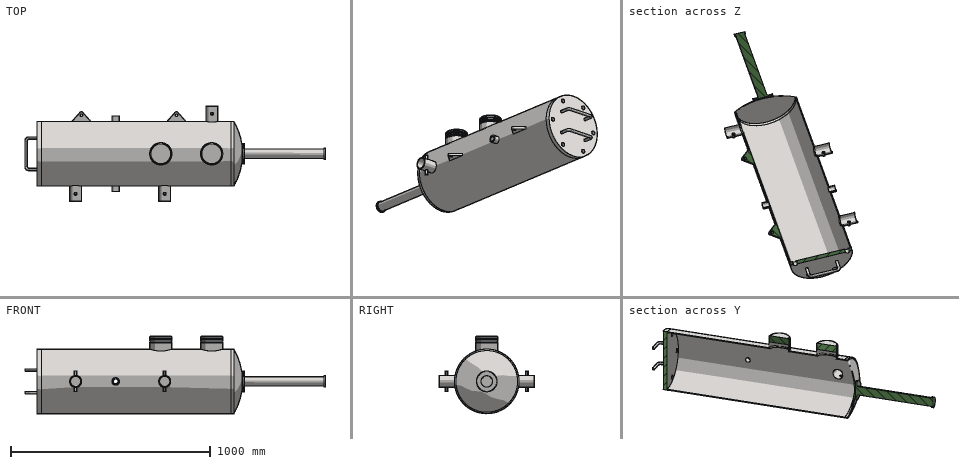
import cadquery as cq
import math


OVERALL_LENGTH = 1509.0
OVERALL_WIDTH = 477.0
OVERALL_HEIGHT = 390.0

VESSEL_RADIUS = 325.0 / 2
WALL = 8.0
COVER_THICKNESS = 23.0
SHELL_END = 975.0
DOME_SKIRT = 14.0
DOME_HEIGHT = 44.0
PAD_RADIUS = 48.0
PAD_END = 1033.0

BOLT_COUNT = 6
BOLT_CIRCLE_RADIUS = 136.0
BOLT_HOLE_DIAMETER = 20.0

HANDLE_REACH = 60.0
HANDLE_WIDTH = 170.0
HANDLE_BAR_DIAMETER = 14.0
HANDLE_BEND_RADIUS = 14.0
HANDLE_SPACING = 113.0

NECK_STATIONS = (622.0, 876.0)
NECK_RADIUS = 56.0
NECK_WALL = 6.0
NECK_TOP = 192.0
CAP_TOP = OVERALL_HEIGHT - VESSEL_RADIUS
CAP_CHAMFER = 6.0
CAP_GROOVE_WIDTH = 6.0
CAP_GROOVE_DEPTH = 3.0
CAP_GROOVE_BOTTOMS = (196.0, 210.0)

NOZZLES = ((195.0, -1), (641.0, -1), (878.0, 1))
NOZZLE_END = OVERALL_WIDTH / 2
NOZZLE_RADIUS = 30.0
NOZZLE_WALL = 5.0
STUB_OFFSET = 200.0
STUB_RADIUS = 8.0
STUB_BORE_RADIUS = 5.0
STUB_END = 51.0

SOCKET_STATION = 395.0
SOCKET_END = 190.0
SOCKET_RADIUS = 38.0 / 2
SOCKET_BORE_RADIUS = 12.0

LUG_STATIONS = (223.0, 700.0)
LUG_BASE = 95.0
LUG_THICKNESS = 12.0
LUG_HOLE_OFFSET = 193.0
LUG_HOLE_DIAMETER = 12.0
LUG_TIP_RADIUS = 9.0
LUG_TIP_OFFSET = 202.0

FLANGE_RADIUS = 104.0 / 2
FLANGE_THICKNESS = 8.0
ROD_RADIUS = 24.0
ROD_END = OVERALL_LENGTH - HANDLE_REACH
COLLAR_RADIUS = 29.0
COLLAR_LENGTH = 9.0

INNER_RADIUS = VESSEL_RADIUS - WALL
DOME_RIM = SHELL_END + DOME_SKIRT


def x_cylinder(start, end, radius):
    return cq.Workplane("YZ", origin=(start, 0, 0)).circle(radius).extrude(end - start)


def y_cylinder(station, side, end, radius):
    """Cylinder from the vessel axis out to |Y| = end on the given side."""
    axis = cq.Vector(0, side, 0)
    return cq.Workplane(cq.Solid.makeCylinder(radius, end, cq.Vector(station, 0, 0), axis))


def z_cylinder(station, start, end, radius, offset=0):
    return cq.Workplane("XY", origin=(station, offset, start)).circle(radius).extrude(end - start)


def make_cover():
    holes = (
        cq.Workplane("YZ")
        .polarArray(BOLT_CIRCLE_RADIUS, 0, 360, BOLT_COUNT)
        .circle(BOLT_HOLE_DIAMETER / 2)
        .extrude(COVER_THICKNESS)
    )
    return x_cylinder(0, COVER_THICKNESS, VESSEL_RADIUS).cut(holes)


def make_handle(height):
    """U-shaped round bar standing on the cover."""
    leg = (HANDLE_WIDTH - HANDLE_BAR_DIAMETER) / 2
    reach = -HANDLE_REACH + HANDLE_BAR_DIAMETER / 2
    bend = HANDLE_BEND_RADIUS
    mid = bend * (1 - math.sqrt(0.5))
    path = (
        cq.Workplane("XY", origin=(0, 0, height))
        .moveTo(0, -leg)
        .lineTo(reach + bend, -leg)
        .threePointArc((reach + mid, -leg + mid), (reach, -leg + bend))
        .lineTo(reach, leg - bend)
        .threePointArc((reach + mid, leg - mid), (reach + bend, leg))
        .lineTo(0, leg)
    )
    return cq.Workplane("YZ", origin=(0, -leg, height)).circle(HANDLE_BAR_DIAMETER / 2).sweep(path)


def make_lug(station):
    """Triangular plate with a rounded tip and a hole below it."""
    base = INNER_RADIUS + WALL / 2
    rise = LUG_TIP_OFFSET - VESSEL_RADIUS
    half_base = LUG_BASE / 2
    tangent = math.acos(LUG_TIP_RADIUS / math.hypot(half_base, rise)) - math.atan2(rise, half_base)
    tip_x = LUG_TIP_RADIUS * math.cos(tangent)
    tip_y = LUG_TIP_OFFSET + LUG_TIP_RADIUS * math.sin(tangent)
    outline = (
        cq.Workplane("XY", origin=(station, 0, -LUG_THICKNESS / 2))
        .moveTo(-half_base, base)
        .lineTo(half_base, base)
        .lineTo(half_base, VESSEL_RADIUS)
        .lineTo(tip_x, tip_y)
        .threePointArc((0, LUG_TIP_OFFSET + LUG_TIP_RADIUS), (-tip_x, tip_y))
        .lineTo(-half_base, VESSEL_RADIUS)
        .close()
    )
    hole = cq.Workplane("XY", origin=(station, LUG_HOLE_OFFSET, -LUG_THICKNESS / 2))
    return outline.extrude(LUG_THICKNESS).cut(hole.circle(LUG_HOLE_DIAMETER / 2).extrude(LUG_THICKNESS))


def make_stub(station, side, radius):
    """Vertical cylinder crossing a side nozzle and standing out above and below it."""
    return z_cylinder(station, -STUB_END, STUB_END, radius, side * STUB_OFFSET)


def make_shell():
    shell = x_cylinder(COVER_THICKNESS, SHELL_END, VESSEL_RADIUS)
    for station in NECK_STATIONS:
        shell = shell.union(z_cylinder(station, 0, NECK_TOP, NECK_RADIUS))
    for station, side in NOZZLES:
        shell = shell.union(y_cylinder(station, side, NOZZLE_END, NOZZLE_RADIUS))
        shell = shell.union(make_stub(station, side, STUB_RADIUS))
    for side in (-1, 1):
        shell = shell.union(y_cylinder(SOCKET_STATION, side, SOCKET_END, SOCKET_RADIUS))
    for station in LUG_STATIONS:
        shell = shell.union(make_lug(station))

    shell = shell.cut(x_cylinder(COVER_THICKNESS, SHELL_END, INNER_RADIUS))
    for station in NECK_STATIONS:
        shell = shell.cut(z_cylinder(station, 0, NECK_TOP, NECK_RADIUS - NECK_WALL))
    for station, side in NOZZLES:
        shell = shell.cut(y_cylinder(station, side, NOZZLE_END, NOZZLE_RADIUS - NOZZLE_WALL))
        shell = shell.cut(make_stub(station, side, STUB_BORE_RADIUS))
    for side in (-1, 1):
        shell = shell.cut(y_cylinder(SOCKET_STATION, side, SOCKET_END, SOCKET_BORE_RADIUS))
    return shell


def domed_solid(radius, height):
    """Short cylinder closed by a shallow spherical cap."""
    sphere_radius = (radius**2 + height**2) / (2 * height)
    mid_angle = math.asin(radius / sphere_radius) / 2
    mid_x = DOME_RIM + height - sphere_radius * (1 - math.cos(mid_angle))
    return (
        cq.Workplane("XY")
        .moveTo(SHELL_END, 0)
        .lineTo(SHELL_END, radius)
        .lineTo(DOME_RIM, radius)
        .threePointArc((mid_x, sphere_radius * math.sin(mid_angle)), (DOME_RIM + height, 0))
        .close()
        .revolve(360, (0, 0, 0), (1, 0, 0))
    )


def make_dome():
    pad = x_cylinder(DOME_RIM, PAD_END, PAD_RADIUS)
    outside = domed_solid(VESSEL_RADIUS, DOME_HEIGHT).union(pad)
    return outside.cut(domed_solid(INNER_RADIUS, DOME_HEIGHT - WALL))


def make_cap(station):
    cap = z_cylinder(station, NECK_TOP, CAP_TOP, NECK_RADIUS).faces(">Z").chamfer(CAP_CHAMFER)
    for bottom in CAP_GROOVE_BOTTOMS:
        top = bottom + CAP_GROOVE_WIDTH
        ring = z_cylinder(station, bottom, top, NECK_RADIUS)
        cap = cap.cut(ring.cut(z_cylinder(station, bottom, top, NECK_RADIUS - CAP_GROOVE_DEPTH)))
    return cap


def make_rod():
    flange = x_cylinder(PAD_END, PAD_END + FLANGE_THICKNESS, FLANGE_RADIUS)
    collar = x_cylinder(ROD_END - COLLAR_LENGTH, ROD_END, COLLAR_RADIUS)
    return flange.union(x_cylinder(PAD_END, ROD_END, ROD_RADIUS)).union(collar)


cover = make_cover()
handles = [make_handle(height) for height in (-HANDLE_SPACING / 2, HANDLE_SPACING / 2)]
shell = make_shell()
dome = make_dome()
caps = [make_cap(station) for station in NECK_STATIONS]
rod = make_rod()

result = cq.Compound.makeCompound(
    [
        cover.val(),
        *[handle.val() for handle in handles],
        shell.val(),
        dome.val(),
        *[cap.val() for cap in caps],
        rod.val(),
    ]
)